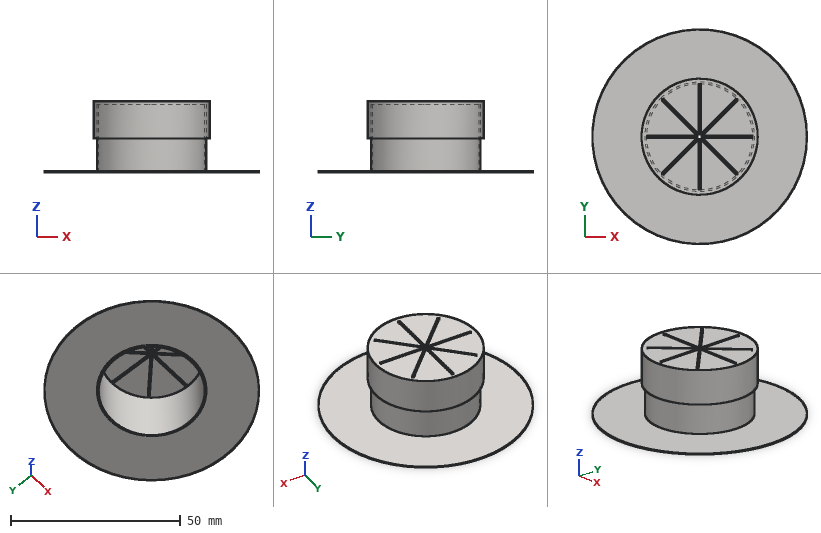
import cadquery as cq

flange_diameter = 63.5
flange_thickness = 0.3
tube_diameter = 32.4
bore_diameter = 31.4

total_height = 21.0
cap_diameter = 34.35
cap_height = 11.0
cap_top_thickness = 1.0
slot_length = 31.0
slot_width = 0.5
slot_count = 4

cap_bottom = total_height - cap_height
tube_height = total_height - cap_top_thickness


def make_flanged_tube():
    """Thin flange and upright tube with one bore through both."""
    flange = cq.Workplane("XY").circle(flange_diameter / 2).extrude(flange_thickness)
    tube = cq.Workplane("XY").circle(tube_diameter / 2).extrude(tube_height)
    bore = cq.Workplane("XY").circle(bore_diameter / 2).extrude(tube_height)
    return flange.union(tube).cut(bore)


def make_slotted_cap():
    """Cup-shaped cap whose closed top is cut by crossing slots."""
    cap = cq.Workplane("XY").workplane(offset=cap_bottom).circle(cap_diameter / 2).extrude(cap_height)
    socket = (
        cq.Workplane("XY")
        .workplane(offset=cap_bottom)
        .circle(tube_diameter / 2)
        .extrude(tube_height - cap_bottom)
    )
    cap = cap.cut(socket)
    slot = (
        cq.Workplane("XY")
        .workplane(offset=tube_height)
        .rect(slot_length, slot_width)
        .extrude(cap_top_thickness)
    )
    for index in range(slot_count):
        angle = index * 180 / slot_count
        cap = cap.cut(slot.rotate((0, 0, 0), (0, 0, 1), angle))
    return cap


flanged_tube = make_flanged_tube()
slotted_cap = make_slotted_cap()

result = cq.Compound.makeCompound([flanged_tube.val(), slotted_cap.val()])